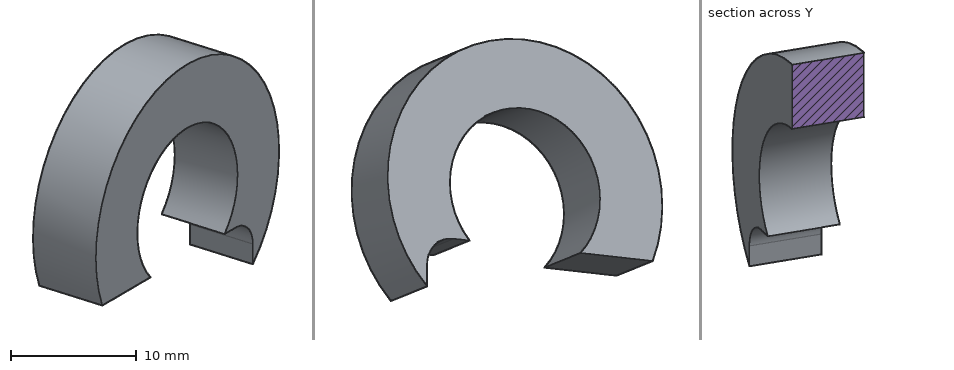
import cadquery as cq
import math

width = 6.2
outer_radius = 12.32
inner_radius = 6.73
cut_z = -4.53
tip_z = -8.65
relief_radius = 2.32


def y_on_circle(radius, z):
    """Distance from the ring axis plane to a circle at height z."""
    return math.sqrt(radius**2 - z**2)


inner_y = y_on_circle(inner_radius, cut_z)
outer_y = y_on_circle(outer_radius, cut_z)
tip_y = y_on_circle(outer_radius, tip_z)

relief_center_y = tip_y - relief_radius
relief_center_z = cut_z - relief_radius
relief_diagonal = relief_radius * math.sqrt(0.5)
relief_middle = (relief_center_y + relief_diagonal, relief_center_z + relief_diagonal)

result = (
    cq.Workplane("YZ")
    .moveTo(-inner_y, cut_z)
    .lineTo(-outer_y, cut_z)
    .threePointArc((0, outer_radius), (tip_y, tip_z))
    .lineTo(tip_y, relief_center_z)
    .threePointArc(relief_middle, (relief_center_y, cut_z))
    .lineTo(inner_y, cut_z)
    .threePointArc((0, inner_radius), (-inner_y, cut_z))
    .close()
    .extrude(width / 2, both=True)
)